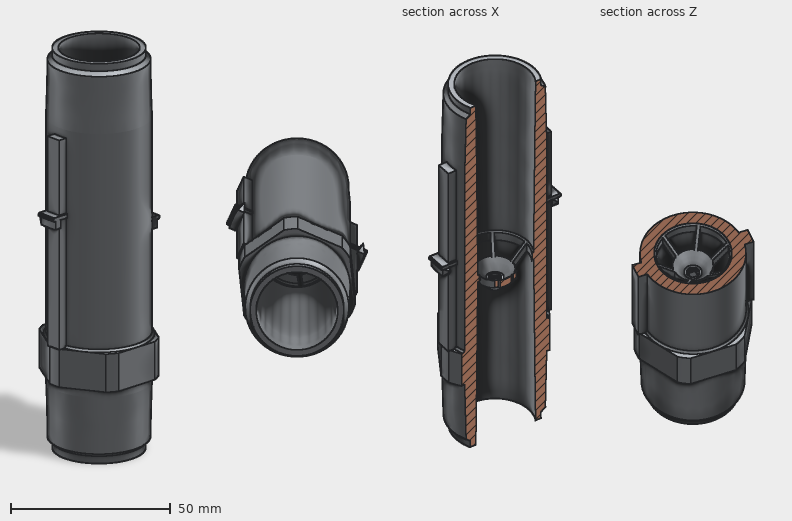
import cadquery as cq
import math

TOTAL_LENGTH = 133.35
BODY_RADIUS = 16.65
THREAD_END_RADIUS = 16.2
THREAD_START = 3.75
THREAD_RUNOUT = 22.7
NECK_RADIUS = 14.7
NECK_LENGTH = 2.5

HEX_ACROSS_FLATS = 34.92
HEX_BOTTOM = 25.4
HEX_HEIGHT = 12.7
HEX_TOP = HEX_BOTTOM + HEX_HEIGHT
HEX_CORNER_DIAMETER = 38.1
HEX_SHOULDER = 0.75

BORE_END_RADIUS = 12.75
BORE_THROAT_RADIUS = 12.1
OPENING_RADIUS = 11.55
DISH_RIM = TOTAL_LENGTH / 2
DISH_THICKNESS = 3.0
DISH_FLOOR_RADIUS = 2.8
DISH_FLOOR = DISH_RIM - (BORE_THROAT_RADIUS - DISH_FLOOR_RADIUS)
HUB_RADIUS = 6.35
SPOKE_COUNT = 6
SPOKE_WIDTH = 1.2
RECESS_RADIUS = 2.0
RECESS_DEPTH = 0.8
SQUARE_SIZE = 2.6
SQUARE_DEPTH = 0.8

BAR_WIDTH = 5.3
BAR_FACE = 19.45
BAR_LENGTH = 69.85

OVERALL_DEPTH = 45.22
PLATE_WIDTH = 6.9
PLATE_THICKNESS = 1.3
PLATE_EDGE_CHAMFER = 0.4
PLATE_REACH = OVERALL_DEPTH / 2
FRONT_PLATE_TOP = 82.95
REAR_PLATE_TOP = 72.9
BLOCK_LEFT = -3.1
BLOCK_FACE_RADIUS = 21.95
BLOCK_HEIGHT = 2.75
TIP_X = -5.4
TIP_Y = 20.3


def make_pipe():
    """Revolved outside of the pipe: a neck, chamfer and tapered thread at each end."""
    lower = [
        (NECK_RADIUS, 0),
        (NECK_RADIUS, NECK_LENGTH),
        (THREAD_END_RADIUS, THREAD_START),
        (BODY_RADIUS, THREAD_RUNOUT),
    ]
    upper = [(r, TOTAL_LENGTH - z) for r, z in reversed(lower)]
    outline = [(0, 0)] + lower + upper + [(0, TOTAL_LENGTH)]
    return cq.Workplane("XZ").polyline(outline).close().revolve(360, (0, 0, 0), (0, 1, 0))


def make_hex_collar():
    """Hexagon with flats facing +X and -X, turned corners and a sloped ring on top."""
    across_corners = HEX_ACROSS_FLATS / math.cos(math.pi / 6)
    collar = (
        cq.Workplane("XY")
        .workplane(offset=HEX_BOTTOM)
        .transformed(rotate=(0, 0, 90))
        .polygon(6, across_corners)
        .extrude(HEX_HEIGHT)
    )
    turned = (
        cq.Workplane("XY")
        .workplane(offset=HEX_BOTTOM)
        .circle(HEX_CORNER_DIAMETER / 2)
        .extrude(HEX_HEIGHT)
    )
    ring = cq.Workplane(
        cq.Solid.makeCone(
            BODY_RADIUS + HEX_SHOULDER, BODY_RADIUS, HEX_SHOULDER, cq.Vector(0, 0, HEX_TOP)
        )
    )
    return collar.intersect(turned).union(ring)


def make_bore():
    """Flow passage that narrows from both ends to the throat at the dish rim."""
    outline = [
        (0, 0),
        (BORE_END_RADIUS, 0),
        (BORE_THROAT_RADIUS, DISH_RIM),
        (BORE_END_RADIUS, TOTAL_LENGTH),
        (0, TOTAL_LENGTH),
    ]
    return cq.Workplane("XZ").polyline(outline).close().revolve(360, (0, 0, 0), (0, 1, 0))


def make_spoke_plate():
    """Conical dish cut down to a hub and radial spokes, with a stepped centre recess."""
    outer = (BODY_RADIUS + BORE_THROAT_RADIUS) / 2
    rim_height = DISH_FLOOR + outer - DISH_FLOOR_RADIUS
    outline = [
        (0, DISH_FLOOR),
        (DISH_FLOOR_RADIUS, DISH_FLOOR),
        (outer, rim_height),
        (outer, rim_height - DISH_THICKNESS),
        (DISH_FLOOR_RADIUS, DISH_FLOOR - DISH_THICKNESS),
        (0, DISH_FLOOR - DISH_THICKNESS),
    ]
    dish = cq.Workplane("XZ").polyline(outline).close().revolve(360, (0, 0, 0), (0, 1, 0))

    hub = cq.Workplane("XY").circle(HUB_RADIUS).extrude(TOTAL_LENGTH)
    rim_ring = cq.Workplane("XY").circle(outer).circle(OPENING_RADIUS).extrude(TOTAL_LENGTH)
    kept = hub.union(rim_ring)
    for i in range(SPOKE_COUNT // 2):
        spoke_pair = (
            cq.Workplane("XY")
            .rect(SPOKE_WIDTH, 2 * outer)
            .extrude(TOTAL_LENGTH)
            .rotate((0, 0, 0), (0, 0, 1), i * 360 / SPOKE_COUNT)
        )
        kept = kept.union(spoke_pair)

    recess = cq.Workplane("XY").workplane(offset=DISH_FLOOR).circle(RECESS_RADIUS).extrude(-RECESS_DEPTH)
    square = (
        cq.Workplane("XY")
        .workplane(offset=DISH_FLOOR)
        .rect(SQUARE_SIZE, SQUARE_SIZE)
        .extrude(-RECESS_DEPTH - SQUARE_DEPTH)
    )
    return dish.intersect(kept).cut(recess).cut(square)


def make_bars():
    """Two upright bars standing on the collar, made as one slab that the bore later divides."""
    return (
        cq.Workplane("XY")
        .workplane(offset=HEX_TOP)
        .rect(BAR_WIDTH, 2 * BAR_FACE)
        .extrude(BAR_LENGTH)
    )


def make_rear_pointer(plate_top):
    """Pointer on the +Y side: a plate, a block below it and a tapered tip toward -X."""
    plate_bottom = plate_top - PLATE_THICKNESS
    block_bottom = plate_bottom - BLOCK_HEIGHT
    half_width = PLATE_WIDTH / 2

    plate = (
        cq.Workplane("XY")
        .box(PLATE_WIDTH, PLATE_REACH - BODY_RADIUS, PLATE_THICKNESS, centered=(True, False, False))
        .translate((0, BODY_RADIUS, plate_bottom))
        .faces(">Y")
        .edges("|X")
        .chamfer(PLATE_EDGE_CHAMFER)
    )
    block_left_face = math.sqrt(BLOCK_FACE_RADIUS**2 - BLOCK_LEFT**2)
    block_right_face = math.sqrt(BLOCK_FACE_RADIUS**2 - half_width**2)
    block = (
        cq.Workplane("XY")
        .workplane(offset=block_bottom)
        .moveTo(BLOCK_LEFT, BAR_FACE)
        .lineTo(BLOCK_LEFT, block_left_face)
        .threePointArc((0, BLOCK_FACE_RADIUS), (half_width, block_right_face))
        .lineTo(half_width, BAR_FACE)
        .close()
        .extrude(BLOCK_HEIGHT)
    )
    tip_plan = (
        cq.Workplane("XY")
        .workplane(offset=block_bottom)
        .polyline([(BLOCK_LEFT, BAR_FACE), (TIP_X, TIP_Y), (BLOCK_LEFT, block_left_face)])
        .close()
        .extrude(BLOCK_HEIGHT)
    )
    tip_slope = (
        cq.Workplane("XZ")
        .polyline([(BLOCK_LEFT, block_bottom), (TIP_X, plate_bottom), (BLOCK_LEFT, plate_bottom)])
        .close()
        .extrude(-PLATE_REACH)
    )
    return plate.union(block).union(tip_plan.intersect(tip_slope))


outside = make_pipe().union(make_hex_collar()).union(make_bars())
rear_pointer = make_rear_pointer(REAR_PLATE_TOP)
front_pointer = make_rear_pointer(FRONT_PLATE_TOP).mirror("XZ")
body = outside.union(rear_pointer).union(front_pointer).cut(make_bore())
result = body.union(make_spoke_plate())